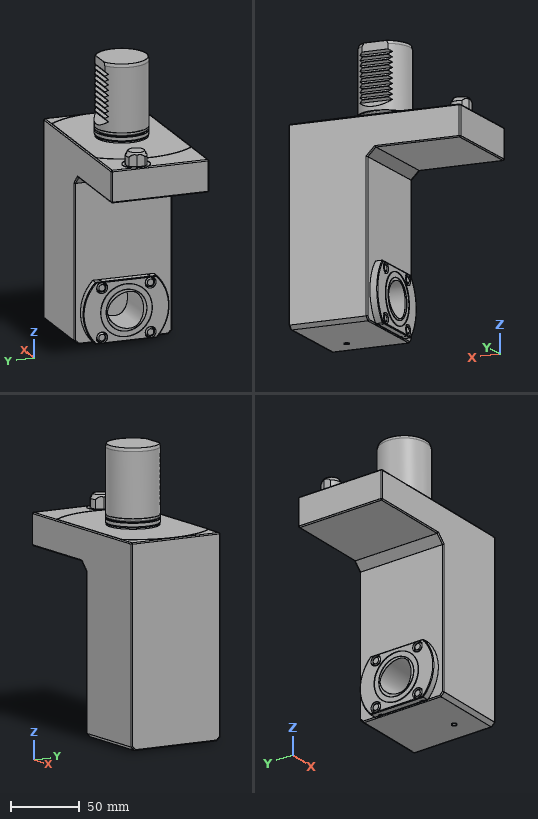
import cadquery as cq
import math


body_depth = 76.0
body_left = -78.0
body_right = 59.5
column_left = -3.5
plate_bottom = -25.0
body_bottom = -154.0
inner_corner_chamfer = 6.5
edge_chamfer = 0.9
bottom_side_chamfer = 3.0

disc_radius = 58.0
disc_height = 0.2
body_top = -disc_height

shank_diameter = 40.0
shank_length = 60.0
shank_top_chamfer_height = 2.5
shank_top_chamfer_width = 0.7
neck_diameter = 39.0
neck_height = 1.0
neck_cone_top = 1.9

groove_diameter = 36.5
groove_bottom = 4.5
groove_top = 7.7
seal_section_radius = 1.3
seal_centre_z = groove_top - seal_section_radius

flat_y = 17.1
tooth_depth = 1.8
tooth_half_width = 1.8
tooth_pitch = 4.0
tooth_count = 10
lowest_tooth_z = 15.5

pin_x = -68.2
pin_y = 15.0
pin_diameter = 16.0
pin_height = 10.0
pin_tip_diameter = 12.0
pin_tip_angle = 30.0
pin_flat_distance = 6.75
pin_flat_angles = (0.0, -30.0)
pin_seat_diameter = 20.8
pin_seat_depth = 0.2

socket_z = -130.0
flange_radius = 33.4
flange_height = 47.0
flange_face_x = -9.5
flange_chamfer = 0.6
boss_diameter = 40.0
boss_height = 0.5
recess_diameter = 31.6
recess_depth = 0.3

lobe_mean_diameter = 28.0
lobe_eccentricity = 0.7
bore_depth = 30.0
bore_taper_angle = 2.0
bore_seam_angle = math.radians(120)
lobe_points = 72

screw_offset = 18.85
screw_hole_diameter = 8.4
screw_hole_depth = 5.0
screw_head_diameter = 7.2
screw_tip_diameter = 5.0
screw_sink = 0.2

plug_x = 38.5
plug_y = -16.2
plug_diameter = 4.0
plug_height = 0.54


def is_broken_edge(edge):
    """True for outer edges, except those of the inner corner and of the bottom side chamfers."""
    box = edge.BoundingBox()
    along_y = box.ylen > body_depth / 2
    between_ends = body_left / 2 < box.center.x < body_right / 2
    in_upper_half = box.center.z > body_bottom / 2
    in_corner = along_y and between_ends and in_upper_half
    along_column = box.xlen > inner_corner_chamfer and not in_upper_half
    return not (in_corner or along_column)


def make_body():
    outline = [
        (body_left, body_top),
        (body_right, body_top),
        (body_right, body_bottom),
        (column_left, body_bottom),
        (column_left, plate_bottom - inner_corner_chamfer),
        (column_left - inner_corner_chamfer, plate_bottom),
        (body_left, plate_bottom),
    ]
    body = cq.Workplane("XZ").polyline(outline).close().extrude(body_depth / 2, both=True)
    body = body.faces("<Z").edges("|X").chamfer(bottom_side_chamfer)
    return body.edges().filter(is_broken_edge).chamfer(edge_chamfer)


def make_disc():
    disc = cq.Workplane("XY").workplane(offset=body_top).circle(disc_radius).extrude(disc_height)
    sides = cq.Workplane("XY").box(
        2 * disc_radius, body_depth - 2 * edge_chamfer, 2 * disc_height
    )
    return disc.intersect(sides)


def make_shank():
    radius = shank_diameter / 2
    profile = [
        (0, body_top),
        (neck_diameter / 2, body_top),
        (neck_diameter / 2, neck_height),
        (radius, neck_cone_top),
        (radius, groove_bottom),
        (groove_diameter / 2, groove_bottom),
        (groove_diameter / 2, groove_top),
        (radius, groove_top),
        (radius, shank_length - shank_top_chamfer_height),
        (radius - shank_top_chamfer_width, shank_length),
        (0, shank_length),
    ]
    shank = cq.Workplane("XZ").polyline(profile).close().revolve(360, (0, 0), (0, 1))
    seal = cq.Workplane(cq.Solid.makeTorus(radius - seal_section_radius, seal_section_radius))
    shank = shank.union(seal.translate((0, 0, seal_centre_z)))
    return shank.cut(make_toothed_cut())


def make_toothed_cut():
    """Everything outside the flat and its teeth, ending below in a 45 degree run-out."""
    outside_y = shank_diameter
    valley_y = flat_y - tooth_depth
    run_out = outside_y - valley_y
    above_shank = shank_length + tooth_pitch
    outline = [(outside_y, lowest_tooth_z - run_out)]
    for i in range(tooth_count):
        valley_z = lowest_tooth_z + i * tooth_pitch
        if i > 0:
            outline.append((flat_y, valley_z - tooth_half_width))
        outline.append((valley_y, valley_z))
        outline.append((flat_y, valley_z + tooth_half_width))
    outline.append((flat_y, above_shank))
    outline.append((outside_y, above_shank))
    return cq.Workplane("YZ").polyline(outline).close().extrude(shank_diameter, both=True)


def make_pin():
    radius = pin_diameter / 2
    tip_radius = pin_tip_diameter / 2
    tip_height = (radius - tip_radius) / math.tan(math.radians(pin_tip_angle))
    foot_z = body_top - pin_seat_depth
    profile = [
        (0, foot_z),
        (radius, foot_z),
        (radius, pin_height - tip_height),
        (tip_radius, pin_height),
        (0, pin_height),
    ]
    pin = cq.Workplane("XZ").polyline(profile).close().revolve(360, (0, 0), (0, 1))
    for angle in pin_flat_angles:
        between_flats = cq.Workplane("XY").box(2 * pin_flat_distance, 2 * pin_diameter, 4 * pin_height)
        pin = pin.intersect(between_flats.rotate((0, 0, 0), (0, 0, 1), angle))
    return pin.translate((pin_x, pin_y, 0))


def make_pin_seat():
    seat = cq.Workplane("XY").workplane(offset=body_top).center(pin_x, pin_y)
    return seat.circle(pin_seat_diameter / 2).extrude(-pin_seat_depth)


def socket_plane(x):
    """Plane across the socket axis; its local x is +Y, its local y is +Z and it faces +X."""
    return cq.Workplane("YZ", origin=(x, 0, socket_z))


def make_flange():
    thickness = column_left - flange_face_x
    flange = socket_plane(flange_face_x).circle(flange_radius).extrude(thickness)
    band = socket_plane(flange_face_x).rect(2 * flange_radius, flange_height).extrude(thickness)
    flange = flange.intersect(band).faces("<X").edges().chamfer(flange_chamfer)
    boss = socket_plane(flange_face_x).circle(boss_diameter / 2).extrude(-boss_height)
    return flange.union(boss)


def lobe_point(mean_diameter, angle):
    """Point on a curve of constant width with three lobes, one of them toward +Y."""
    support = mean_diameter / 2 + lobe_eccentricity * math.cos(3 * angle)
    slope = -3 * lobe_eccentricity * math.sin(3 * angle)
    across = support * math.cos(angle) - slope * math.sin(angle)
    up = support * math.sin(angle) + slope * math.cos(angle)
    return (across, up)


def lobe_outline(mean_diameter):
    step = 2 * math.pi / lobe_points
    angles = [bore_seam_angle + i * step for i in range(lobe_points)]
    return [lobe_point(mean_diameter, angle) for angle in angles]


def make_bore():
    mouth_x = flange_face_x - boss_height
    recess = socket_plane(mouth_x).circle(recess_diameter / 2).extrude(recess_depth)
    floor_diameter = lobe_mean_diameter - 2 * bore_depth * math.tan(math.radians(bore_taper_angle))
    bore = socket_plane(mouth_x).spline(lobe_outline(lobe_mean_diameter), periodic=True).close()
    bore = bore.workplane(offset=bore_depth).spline(lobe_outline(floor_diameter), periodic=True).close()
    return recess.union(bore.loft(ruled=True))


def screw_places(x):
    side = 2 * screw_offset
    return socket_plane(x).rect(side, side, forConstruction=True).vertices()


def make_screw_holes():
    return screw_places(flange_face_x).circle(screw_hole_diameter / 2).extrude(screw_hole_depth)


def make_screws():
    head_x = flange_face_x + screw_sink
    head_length = screw_hole_depth - screw_sink
    heads = screw_places(head_x).circle(screw_head_diameter / 2).extrude(head_length)
    tip_chamfer = (screw_head_diameter - screw_tip_diameter) / 2
    return heads.faces("<X").edges().chamfer(tip_chamfer)


def make_plug():
    plug = cq.Workplane("XY").workplane(offset=body_bottom).center(plug_x, plug_y)
    return plug.circle(plug_diameter / 2).extrude(-plug_height)


result = make_body().cut(make_pin_seat())
result = result.union(make_disc()).union(make_shank()).union(make_pin())
result = result.union(make_flange()).cut(make_screw_holes()).union(make_screws())
result = result.cut(make_bore()).union(make_plug())